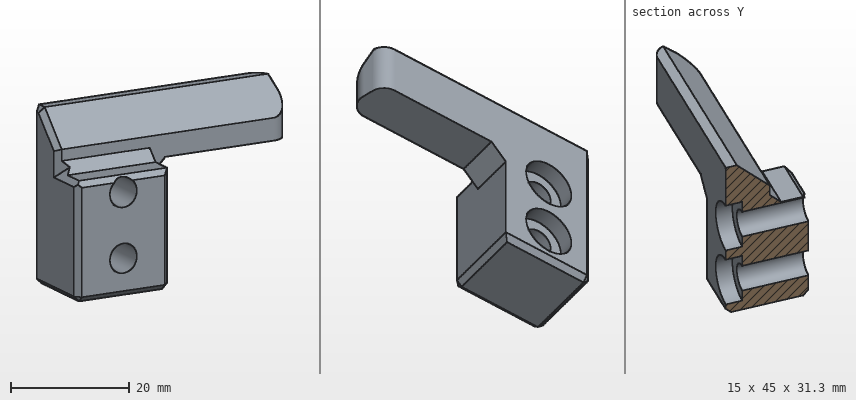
import cadquery as cq
import math

width = 15.0
length = 44.95
height = 31.25

block_length = 18.02
arm_width = 8.0
arm_height = 10.02
block_height = height - arm_height
top_land = 2.02
arm_slope = arm_width - top_land
gusset = 3.0
edge_chamfer = 1.0
step_fill = 2.02

tip_radius = 3.0
tip_angle = math.radians(15)

hole_diameter = 5.2
counterbore_diameter = 9.5
counterbore_depth = 3.0
lower_hole_z = 6.75
hole_spacing = 11.55


def prism_along_y(points, depth):
    """Extrude an XZ outline from the front plane toward +Y."""
    return cq.Workplane("XZ").polyline(points).close().extrude(-depth)


def make_block():
    """Stepped block with its outer edges chamfered."""
    outline = [
        (0, 0),
        (width, 0),
        (width, block_height),
        (arm_width, block_height),
        (arm_width, height - arm_slope),
        (top_land, height),
        (0, height),
    ]
    block = prism_along_y(outline, block_length)
    edges = (
        block.faces("<Z or <Y")
        .edges()
        .add(block.faces(">X").edges(">Y"))
    )
    ledge_corner = prism_along_y(
        [
            (width, block_height),
            (width, block_height - edge_chamfer),
            (width - edge_chamfer, block_height),
        ],
        block_length,
    )
    return edges.chamfer(edge_chamfer).cut(ledge_corner)


def make_step_fill():
    """Sloped fill in the inner corner, mitred by the two front chamfer planes."""
    fill = prism_along_y(
        [
            (arm_width, block_height),
            (arm_width + step_fill, block_height),
            (arm_width, block_height + step_fill),
        ],
        block_length,
    )
    reach = edge_chamfer + step_fill
    wall_x = arm_width - edge_chamfer
    ledge_z = block_height - edge_chamfer
    beyond_wall = (
        cq.Workplane("XY")
        .polyline([(wall_x, 0), (wall_x + reach, 0), (wall_x + reach, reach)])
        .close()
        .extrude(height)
    )
    above_ledge = (
        cq.Workplane("YZ")
        .polyline([(0, ledge_z), (0, ledge_z + reach), (reach, ledge_z + reach)])
        .close()
        .extrude(width)
    )
    return fill.cut(beyond_wall.intersect(above_ledge))


def make_arm():
    """Arm behind the block, with a sloped top and a rounded, slanted tip."""
    section = [
        (0, block_height),
        (arm_width, block_height),
        (arm_width, height - arm_slope),
        (top_land, height),
        (0, height),
    ]
    right_tangent = tip_radius * math.tan(math.pi / 4 + tip_angle / 2)
    right_corner_y = length - tip_radius + right_tangent
    left_corner_y = right_corner_y - arm_width * math.tan(tip_angle)
    plan = (
        cq.Workplane("XY")
        .polyline(
            [
                (0, block_length),
                (arm_width, block_length),
                (arm_width, right_corner_y),
                (0, left_corner_y),
            ]
        )
        .close()
        .extrude(height)
        .faces("not(<Y or |X or |Z)")
        .edges("|Z")
        .fillet(tip_radius)
    )
    return prism_along_y(section, right_corner_y).intersect(plan)


def make_gusset():
    """Triangular brace below the arm, against the back of the block."""
    return (
        cq.Workplane("YZ")
        .polyline(
            [
                (block_length, block_height),
                (block_length + gusset, block_height),
                (block_length, block_height - gusset),
            ]
        )
        .close()
        .extrude(arm_width)
    )


def make_screw_hole(center_z):
    """Cutter for a through hole counterbored from the left face."""
    plane = cq.Workplane("YZ").center(block_length / 2, center_z)
    through = plane.circle(hole_diameter / 2).extrude(width)
    counterbore = plane.circle(counterbore_diameter / 2).extrude(counterbore_depth)
    return through.union(counterbore)


result = make_block().union(make_step_fill()).union(make_arm()).union(make_gusset())
for hole_z in (lower_hole_z, lower_hole_z + hole_spacing):
    result = result.cut(make_screw_hole(hole_z))